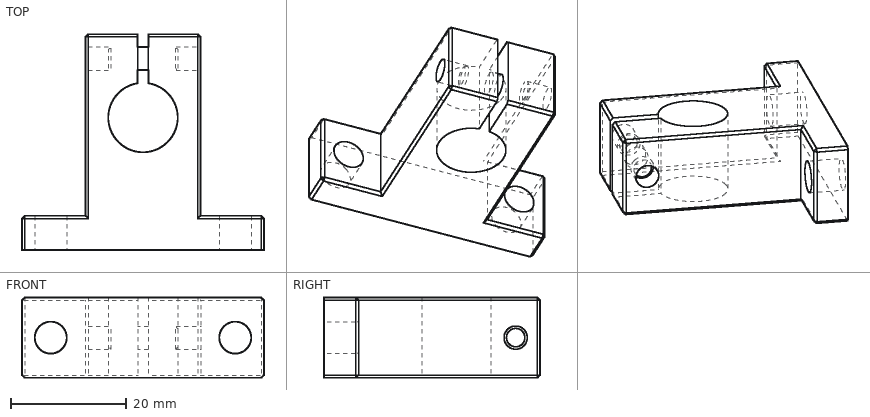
import cadquery as cq

base_length = 42.0
total_height = 37.5
thickness = 14.0
base_height = 6.0
column_width = 20.0
edge_chamfer = 0.5

bore_diameter = 12.0
bore_y = 23.0
slot_width = 1.9

mount_diameter = 5.5
mount_spacing = 32.0

screw_diameter = 4.05
screw_y = 33.25
screw_recess = 4.0
screw_chamfer = 0.4


def make_body():
    """T profile with its base on y = 0, centred on x and z."""
    half_base = base_length / 2
    half_column = column_width / 2
    body = (
        cq.Workplane("XY")
        .workplane(offset=-thickness / 2)
        .moveTo(-half_base, 0)
        .lineTo(half_base, 0)
        .lineTo(half_base, base_height)
        .lineTo(half_column, base_height)
        .lineTo(half_column, total_height)
        .lineTo(-half_column, total_height)
        .lineTo(-half_column, base_height)
        .lineTo(-half_base, base_height)
        .close()
        .extrude(thickness)
    )
    inner_corners = cq.selectors.BoxSelector(
        (-half_column - edge_chamfer, base_height - edge_chamfer, -edge_chamfer),
        (half_column + edge_chamfer, base_height + edge_chamfer, edge_chamfer),
    )
    convex_corners = cq.StringSyntaxSelector("|Z") - inner_corners
    profile_edges = cq.StringSyntaxSelector("#Z")
    mounting_edges = cq.StringSyntaxSelector("<Y")
    return body.edges((convex_corners + profile_edges) - mounting_edges).chamfer(edge_chamfer)


def cylinder_along_x(diameter, length):
    """Cylinder on the clamp screw axis, centred on x."""
    return (
        cq.Workplane("YZ")
        .workplane(offset=-length / 2)
        .center(screw_y, 0)
        .circle(diameter / 2)
        .extrude(length)
    )


def make_bore_and_slot():
    """Shaft bore opened to the top of the column by the clamping slot."""
    slot_length = total_height - bore_y
    bore = cq.Workplane("XY").center(0, bore_y).circle(bore_diameter / 2).extrude(thickness / 2, both=True)
    slot = (
        cq.Workplane("XY")
        .center(0, bore_y + slot_length / 2)
        .rect(slot_width, slot_length)
        .extrude(thickness / 2, both=True)
    )
    return bore.union(slot)


def make_mounting_holes():
    """Pair of holes along y through the base."""
    return (
        cq.Workplane("XZ")
        .pushPoints([(-mount_spacing / 2, 0), (mount_spacing / 2, 0)])
        .circle(mount_diameter / 2)
        .extrude(-base_height)
    )


def make_screw():
    """Clamp screw with chamfered ends."""
    screw_length = column_width - 2 * screw_recess
    return cylinder_along_x(screw_diameter, screw_length).edges().chamfer(screw_chamfer)


result = (
    make_body()
    .cut(make_bore_and_slot())
    .cut(make_mounting_holes())
    .cut(cylinder_along_x(screw_diameter, column_width))
    .union(make_screw())
)